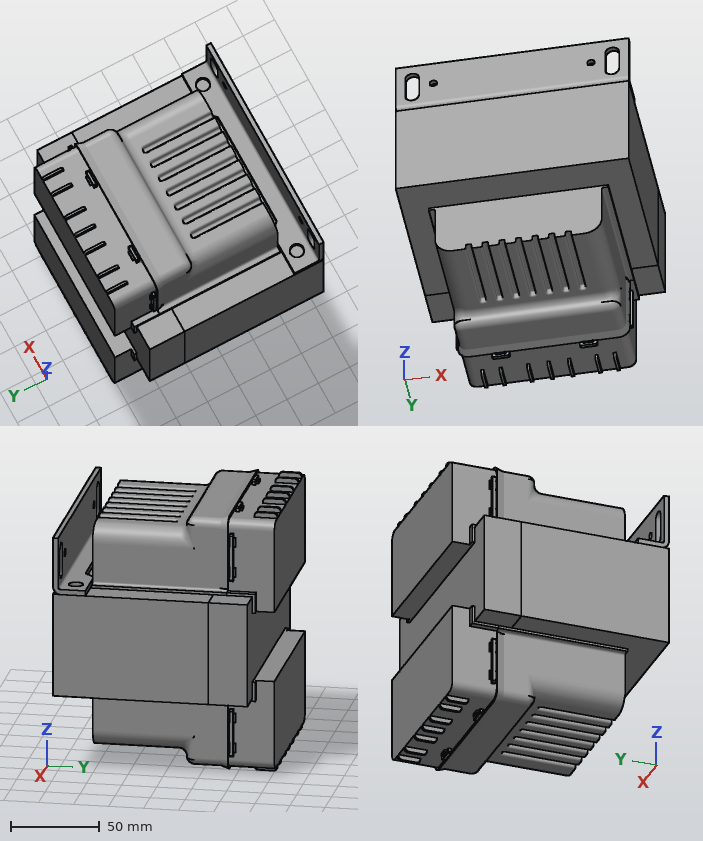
import cadquery as cq
import math


CORE_WIDTH = 133.35
STACK_HEIGHT = 60.0
LEG_WIDTH = CORE_WIDTH / 6
E_DEPTH = 4 * LEG_WIDTH
CORE_DEPTH = E_DEPTH + LEG_WIDTH
STACK_TOP = STACK_HEIGHT / 2

BRACKET_THICKNESS = 3.0
BRACKET_TOP = 63.2
BRACKET_FOOT_DEPTH = 18.6
BEND_INNER_RADIUS = 1.5
BEND_OUTER_RADIUS = BEND_INNER_RADIUS + BRACKET_THICKNESS
RELIEF_DEPTH = 5.8
RELIEF_HALF_WIDTH = 34.6
FOOT_HOLE_DIAMETER = 8.0
MOUNT_SLOT_X = 57.2
MOUNT_SLOT_Z = 47.2
MOUNT_SLOT_LENGTH = 20.6
MOUNT_SLOT_WIDTH = 8.0
SMALL_HOLE_X = 45.1
SMALL_HOLE_Z = 48.0
SMALL_HOLE_DIAMETER = 4.2

COVER_HALF_WIDTH = 47.7
COVER_TOP = 73.0
COVER_RADIUS = 5.0
COVER_JOINT_Y = 96.6
FLANGE_HALF_WIDTH = 51.4
FLANGE_THICKNESS = 1.6
FLANGE_TOP = STACK_TOP + FLANGE_THICKNESS

FRONT_FACE_Y = 19.2
FLANGE_FILLET = 1.2
NOSE_TOP = 65.3
NOSE_RADIUS = 10.0
STEP_HEIGHT = COVER_TOP - NOSE_TOP
STEP_BLEND_RADIUS = 5.0
STEP_BLEND_ANGLE = math.acos(1 - STEP_HEIGHT / (2 * STEP_BLEND_RADIUS))
STEP_RUN = STEP_BLEND_RADIUS * math.sin(STEP_BLEND_ANGLE)
STEP_MIDDLE_Y = 72.2
STEP_MIDDLE_Z = NOSE_TOP + STEP_HEIGHT / 2
LIP_LENGTH = 4.5
LIP_HEIGHT = 1.45
VENT_COUNT = 7
VENT_PITCH = 9.5
VENT_WIDTH = 3.2
VENT_DEPTH = 3.3
VENT_FLARE = 1.2
VENT_END_Y = 65.0
VENT_CORNER_RADIUS = 1.0
VENT_FLOOR_RADIUS = 0.9

REAR_FACE_Y = 123.12
SKIRT_BOTTOM = 20.4
RIB_XS = (-37.9, -27.4, -11.7, 0, 11.7, 27.4, 37.9)
RIB_WIDTH = 1.5
RIB_TOP = 151.87 / 2
RIB_LENGTH = 13.2
RIB_END_RADIUS = 2.4
LATCH_FRONT_Y = 97.9
LATCH_THICKNESS = 1.9
LATCH_HEIGHT = 2.75
LATCH_CHAMFER = 0.8
LATCH_BAR_BACK_Y = 101.0
LATCH_BAR_HEIGHT = 1.2
TOP_LATCH_X = 25.1
TOP_LATCH_LENGTH = 10.1
TOP_BAR_LENGTH = 5.6
SIDE_LATCH_BOTTOM = 37.9
SIDE_LATCH_TOP = 65.6
SIDE_BAR_LENGTH = 5.2
SIDE_BAR_INSET = 2.4


def block(x_range, y_range, z_range):
    """Box between the given pairs of limits."""
    size = [high - low for low, high in (x_range, y_range, z_range)]
    corner = (x_range[0], y_range[0], z_range[0])
    return cq.Workplane("XY").box(*size, centered=False).translate(corner)


def cover_outline(y, half_width, top, radius, bottom=STACK_TOP):
    """Outline across the cover at depth y: square corners below and rounded ones above."""
    return (
        cq.Workplane("XZ", origin=(0, y, 0))
        .moveTo(-half_width, bottom)
        .lineTo(-half_width, top - radius)
        .radiusArc((-half_width + radius, top), radius)
        .lineTo(half_width - radius, top)
        .radiusArc((half_width, top - radius), radius)
        .lineTo(half_width, bottom)
        .close()
    )


def cover_length(y_start, y_end, half_width, top, radius):
    """Straight length of cover."""
    return cover_outline(y_start, half_width, top, radius).extrude(y_start - y_end)


def make_e_core():
    return block((-CORE_WIDTH / 2, CORE_WIDTH / 2), (0, E_DEPTH), (-STACK_TOP, STACK_TOP))


def make_i_core():
    return block((-CORE_WIDTH / 2, CORE_WIDTH / 2), (E_DEPTH, CORE_DEPTH), (-STACK_TOP, STACK_TOP))


def make_bracket():
    """Angle bracket standing on the front edge of the stack, with a relief in front of the cover."""
    angle = (
        cq.Workplane("YZ", origin=(-CORE_WIDTH / 2, 0, 0))
        .moveTo(0, BRACKET_TOP)
        .lineTo(0, STACK_TOP + BEND_OUTER_RADIUS)
        .radiusArc((BEND_OUTER_RADIUS, STACK_TOP), -BEND_OUTER_RADIUS)
        .lineTo(BRACKET_FOOT_DEPTH, STACK_TOP)
        .lineTo(BRACKET_FOOT_DEPTH, STACK_TOP + BRACKET_THICKNESS)
        .lineTo(BEND_OUTER_RADIUS, STACK_TOP + BRACKET_THICKNESS)
        .radiusArc((BRACKET_THICKNESS, STACK_TOP + BEND_OUTER_RADIUS), BEND_INNER_RADIUS)
        .lineTo(BRACKET_THICKNESS, BRACKET_TOP)
        .close()
        .extrude(CORE_WIDTH)
    )
    relief_front = BRACKET_FOOT_DEPTH - RELIEF_DEPTH
    relief_mouth = RELIEF_HALF_WIDTH + RELIEF_DEPTH
    relief = (
        cq.Workplane("XY", origin=(0, 0, STACK_TOP))
        .polyline([
            (-RELIEF_HALF_WIDTH, relief_front),
            (RELIEF_HALF_WIDTH, relief_front),
            (relief_mouth, BRACKET_FOOT_DEPTH),
            (-relief_mouth, BRACKET_FOOT_DEPTH),
        ])
        .close()
        .extrude(BRACKET_THICKNESS)
    )
    foot_holes = (
        cq.Workplane("XY", origin=(0, 0, STACK_TOP))
        .pushPoints([(side * (CORE_WIDTH - LEG_WIDTH) / 2, LEG_WIDTH / 2) for side in (-1, 1)])
        .circle(FOOT_HOLE_DIAMETER / 2)
        .extrude(BRACKET_THICKNESS)
    )
    mount_slots = (
        cq.Workplane("XZ")
        .pushPoints([(side * MOUNT_SLOT_X, MOUNT_SLOT_Z) for side in (-1, 1)])
        .slot2D(MOUNT_SLOT_LENGTH, MOUNT_SLOT_WIDTH, 90)
        .extrude(-BRACKET_THICKNESS)
    )
    small_holes = (
        cq.Workplane("XZ")
        .pushPoints([(side * SMALL_HOLE_X, SMALL_HOLE_Z) for side in (-1, 1)])
        .circle(SMALL_HOLE_DIAMETER / 2)
        .extrude(-BRACKET_THICKNESS)
    )
    return angle.cut(relief).cut(foot_holes).cut(mount_slots).cut(small_holes)


def make_nose():
    """Low body of the front cover on its flange, with the flange blended into the side walls."""
    nose = cover_length(FRONT_FACE_Y, COVER_JOINT_Y, COVER_HALF_WIDTH, NOSE_TOP, NOSE_RADIUS)
    flange = block(
        (-FLANGE_HALF_WIDTH, FLANGE_HALF_WIDTH), (FRONT_FACE_Y, COVER_JOINT_Y), (STACK_TOP, FLANGE_TOP)
    )
    middle_y = (FRONT_FACE_Y + COVER_JOINT_Y) / 2
    body = nose.union(flange)
    for side in (-1, 1):
        root = cq.selectors.NearestToPointSelector((side * COVER_HALF_WIDTH, middle_y, FLANGE_TOP))
        body = body.edges(root).fillet(FLANGE_FILLET)
    return body


def make_hump(front_y, top):
    """High body of the front cover with its upright front corners rounded."""
    return (
        block((-COVER_HALF_WIDTH, COVER_HALF_WIDTH), (front_y, COVER_JOINT_Y), (STACK_TOP, top))
        .edges("|Z and <Y")
        .fillet(COVER_RADIUS)
    )


def make_step_blend(nose):
    """Nose joined to the hump by a hollow fillet, cut off level with the middle of the step."""
    front_y = STEP_MIDDLE_Y - STEP_RUN + STEP_BLEND_RADIUS
    hump = make_hump(front_y, COVER_TOP + STEP_BLEND_RADIUS)
    front_corners = cq.selectors.BoxSelector(
        (-COVER_HALF_WIDTH, front_y - COVER_RADIUS / 2, NOSE_TOP - NOSE_RADIUS),
        (COVER_HALF_WIDTH, front_y + COVER_RADIUS, STEP_MIDDLE_Z),
    )
    blended = nose.union(hump).edges(front_corners).fillet(STEP_BLEND_RADIUS)
    length = (FRONT_FACE_Y, COVER_JOINT_Y)
    foot = block((-FLANGE_HALF_WIDTH, FLANGE_HALF_WIDTH), length, (STACK_TOP, NOSE_TOP - NOSE_RADIUS))
    walls = cover_length(*length, COVER_HALF_WIDTH, COVER_TOP, COVER_RADIUS)
    crown = block((-COVER_HALF_WIDTH, COVER_HALF_WIDTH), length, (STEP_MIDDLE_Z, COVER_TOP))
    return blended.intersect(foot.union(walls).cut(crown))


def make_hump_crown():
    """Upper part of the hump, above the middle of the step, rounded over its front and side edges."""
    hump = make_hump(STEP_MIDDLE_Y + STEP_RUN - COVER_RADIUS, COVER_TOP)
    hump = hump.faces("<Y").edges(">Z").fillet(COVER_RADIUS)
    return hump.intersect(
        block(
            (-COVER_HALF_WIDTH, COVER_HALF_WIDTH), (FRONT_FACE_Y, COVER_JOINT_Y), (STEP_MIDDLE_Z, COVER_TOP)
        )
    )


def make_lip():
    """Flared rim of the front cover where it meets the rear cover, standing on the flange fillet."""
    bottom = FLANGE_TOP + FLANGE_FILLET
    start = cover_outline(COVER_JOINT_Y - LIP_LENGTH, COVER_HALF_WIDTH, COVER_TOP, COVER_RADIUS, bottom)
    rim = cover_outline(
        COVER_JOINT_Y,
        COVER_HALF_WIDTH + LIP_HEIGHT,
        COVER_TOP + LIP_HEIGHT,
        COVER_RADIUS + LIP_HEIGHT,
        bottom,
    )
    return cq.Workplane(cq.Solid.makeLoft([start.wire().val(), rim.wire().val()], True))


def make_vent(x):
    """Groove along the nose top with a rounded floor, a rounded inner end and an open front."""
    half_width = VENT_WIDTH / 2
    return (
        block(
            (x - half_width, x + half_width),
            (FRONT_FACE_Y, VENT_END_Y - VENT_FLARE),
            (NOSE_TOP - VENT_DEPTH, NOSE_TOP),
        )
        .edges("|Z and >Y")
        .fillet(VENT_CORNER_RADIUS)
        .edges("<Z and (not <Y)")
        .fillet(VENT_FLOOR_RADIUS)
    )


def cut_vents(nose):
    """Nose with the row of vent grooves, the mouth of each one rounded outward."""
    for index in range(VENT_COUNT):
        x = (index - (VENT_COUNT - 1) / 2) * VENT_PITCH
        mouth = cq.selectors.BoxSelector(
            (x - VENT_WIDTH, FRONT_FACE_Y + VENT_FLARE, NOSE_TOP - VENT_FLARE / 2),
            (x + VENT_WIDTH, VENT_END_Y, NOSE_TOP + VENT_FLARE / 2),
        )
        nose = nose.cut(make_vent(x)).edges(mouth).fillet(VENT_FLARE)
    return nose


def make_front_cover():
    nose = cut_vents(make_nose())
    return make_step_blend(nose).union(make_hump_crown()).union(make_lip())


def make_rib(x):
    """Rib across the back of the cover top, rounded at both ends."""
    rib = block(
        (x - RIB_WIDTH / 2, x + RIB_WIDTH / 2),
        (REAR_FACE_Y - RIB_LENGTH, REAR_FACE_Y),
        (COVER_TOP - COVER_RADIUS, RIB_TOP),
    )
    return rib.edges("|X and >Z").fillet(RIB_END_RADIUS)


def make_top_latch(x):
    """Latch on the top: an upright plate crossed by a low bar that starts at the joint."""
    latch_back = LATCH_FRONT_Y + LATCH_THICKNESS
    half_length = TOP_LATCH_LENGTH / 2
    half_bar = TOP_BAR_LENGTH / 2
    plate = block(
        (x - half_length, x + half_length), (LATCH_FRONT_Y, latch_back), (COVER_TOP, COVER_TOP + LATCH_HEIGHT)
    )
    bar = block(
        (x - half_bar, x + half_bar),
        (COVER_JOINT_Y, LATCH_BAR_BACK_Y),
        (COVER_TOP, COVER_TOP + LATCH_BAR_HEIGHT),
    )
    return plate.edges("|Y and >Z").chamfer(LATCH_CHAMFER).union(bar)


def make_side_latch():
    """Latch on the -X wall: an upright plate crossed by two low bars that start at the joint."""
    latch_back = LATCH_FRONT_Y + LATCH_THICKNESS
    wall = -COVER_HALF_WIDTH
    latch = block(
        (wall - LATCH_HEIGHT, wall), (LATCH_FRONT_Y, latch_back), (SIDE_LATCH_BOTTOM, SIDE_LATCH_TOP)
    )
    latch = latch.edges("|Y and <X").chamfer(LATCH_CHAMFER)
    lower_bar = SIDE_LATCH_BOTTOM + SIDE_BAR_INSET
    upper_bar = SIDE_LATCH_TOP - SIDE_BAR_INSET - SIDE_BAR_LENGTH
    for bottom in (lower_bar, upper_bar):
        bar = block(
            (wall - LATCH_BAR_HEIGHT, wall),
            (COVER_JOINT_Y, LATCH_BAR_BACK_Y),
            (bottom, bottom + SIDE_BAR_LENGTH),
        )
        latch = latch.union(bar)
    return latch


def make_rear_cover():
    """Rear cover: its skirt and flange wrap over the back edge of the core."""
    flange_back = CORE_DEPTH + FLANGE_THICKNESS
    cover = cover_length(COVER_JOINT_Y, REAR_FACE_Y, COVER_HALF_WIDTH, COVER_TOP, COVER_RADIUS)
    skirt = block(
        (-COVER_HALF_WIDTH, COVER_HALF_WIDTH), (CORE_DEPTH, REAR_FACE_Y), (SKIRT_BOTTOM, FLANGE_TOP)
    )
    flange_x = (-FLANGE_HALF_WIDTH, FLANGE_HALF_WIDTH)
    top_flange = block(flange_x, (COVER_JOINT_Y, flange_back), (STACK_TOP, FLANGE_TOP))
    back_flange = block(flange_x, (CORE_DEPTH, flange_back), (SKIRT_BOTTOM, FLANGE_TOP))
    cover = cover.union(skirt).union(top_flange).union(back_flange)
    for x in RIB_XS:
        cover = cover.union(make_rib(x))
    for x in (-TOP_LATCH_X, TOP_LATCH_X):
        cover = cover.union(make_top_latch(x))
    side_latch = make_side_latch()
    return cover.union(side_latch).union(side_latch.mirror("YZ"))


def both_ends(body):
    """The body at the top end of the stack and its mirror image at the bottom end."""
    return [body.val(), body.mirror("XY").val()]


e_core = make_e_core()
i_core = make_i_core()
bracket = make_bracket()
front_covers = both_ends(make_front_cover())
rear_covers = both_ends(make_rear_cover())

result = cq.Compound.makeCompound(
    [e_core.val(), i_core.val(), bracket.val(), *front_covers, *rear_covers]
)